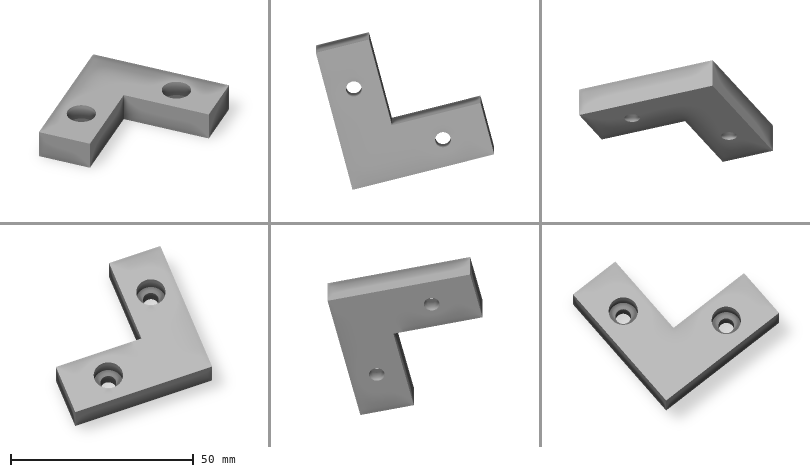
import cadquery as cq

side_length = 40.0
leg_width = 15.0
thickness = 8.0
hole_diameter = 4.3
counterbore_diameter = 8.0
counterbore_depth = 4.4

leg_middle = leg_width / 2
free_length_middle = (side_length + leg_width) / 2
hole_centers = [
    (free_length_middle, side_length - leg_middle),
    (leg_middle, side_length - free_length_middle),
]

inner_y = side_length - leg_width
plate = (
    cq.Workplane("XY")
    .moveTo(0, 0)
    .lineTo(leg_width, 0)
    .lineTo(leg_width, inner_y)
    .lineTo(side_length, inner_y)
    .lineTo(side_length, side_length)
    .lineTo(0, side_length)
    .close()
    .extrude(thickness)
)

result = (
    plate.faces(">Z")
    .workplane(origin=(0, 0, thickness))
    .pushPoints(hole_centers)
    .cboreHole(hole_diameter, counterbore_diameter, counterbore_depth)
)